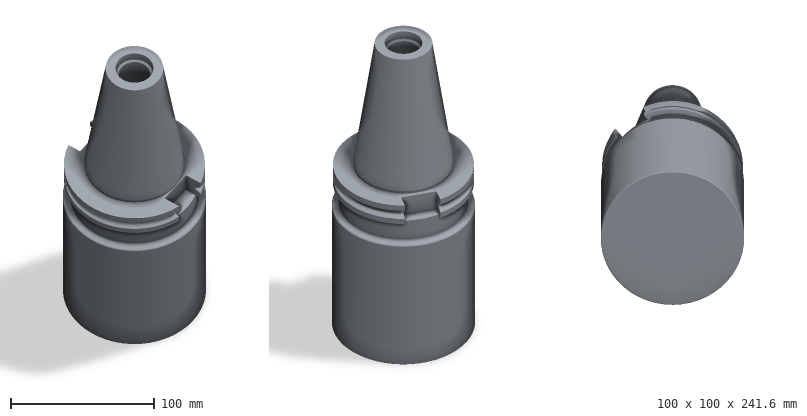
import cadquery as cq
import math


GAUGE_DIAMETER = 69.85
TAPER_LENGTH = 101.6
TAPER_RATIO = 7 / 24
TAPER_END_DIAMETER = GAUGE_DIAMETER - TAPER_RATIO * TAPER_LENGTH
TAPER_BASE = -0.8
TAPER_BASE_DIAMETER = GAUGE_DIAMETER - TAPER_RATIO * TAPER_BASE
RELIEF_DIAMETER = 69.4

FLANGE_DIAMETER = 98.4
FLANGE_TOP = -3.1
FLANGE_BOTTOM = -19.05
GROOVE_DIAMETER = 90
GROOVE_CENTRE = -11.15
GROOVE_FLOOR_WIDTH = 3.8
GROOVE_OPENING_WIDTH = 7
GROOVE_FLANK_SLOPE = math.radians(30)
GROOVE_FLANK_WIDTH = (GROOVE_OPENING_WIDTH - GROOVE_FLOOR_WIDTH) / 2
GROOVE_FLANK_DEPTH = GROOVE_FLANK_WIDTH / math.tan(GROOVE_FLANK_SLOPE)
GROOVE_FLOOR_TOP = GROOVE_CENTRE + GROOVE_FLOOR_WIDTH / 2
GROOVE_FLOOR_BOTTOM = GROOVE_CENTRE - GROOVE_FLOOR_WIDTH / 2

SLOT_WIDTH = 25.7
SLOT_FLOOR_MINUS_X = 37.5
SLOT_FLOOR_PLUS_X = 35.1

NECK_DIAMETER = 90
BODY_DIAMETER = 100
BODY_BOTTOM = -140
NECK_BOTTOM = -35.1
SHOULDER_SLOPE = math.radians(20)
SHOULDER_RADIUS = 1
BODY_BOTTOM_CHAMFER = 0.5

COUNTERBORE_DIAMETER = 26.38
COUNTERBORE_DEPTH = 6.2
LEDGE_SLOPE = math.radians(20)
BORE_DIAMETER = 22.5
BORE_DEPTH = 45
DRILL_POINT_ANGLE = 140


def revolve_profile(profile):
    """Revolve a closed (radius, height) profile about the Z axis."""
    return profile.close().revolve(360, (0, 0, 0), (0, 1, 0))


def make_holder():
    taper_base_radius = TAPER_BASE_DIAMETER / 2
    relief_radius = RELIEF_DIAMETER / 2
    flange_radius = FLANGE_DIAMETER / 2
    groove_radius = GROOVE_DIAMETER / 2
    flank_inner_radius = flange_radius - GROOVE_FLANK_DEPTH
    neck_radius = NECK_DIAMETER / 2
    body_radius = BODY_DIAMETER / 2
    arc_width = SHOULDER_RADIUS * (1 - math.sin(SHOULDER_SLOPE))
    arc_height = SHOULDER_RADIUS * math.cos(SHOULDER_SLOPE)
    cone_top_radius = neck_radius + arc_width
    cone_top = NECK_BOTTOM - arc_height
    cone_bottom_radius = body_radius - arc_width
    cone_bottom = cone_top - (cone_bottom_radius - cone_top_radius) * math.tan(SHOULDER_SLOPE)
    body_top = cone_bottom - arc_height
    profile = (
        cq.Workplane("XZ")
        .moveTo(0, TAPER_LENGTH)
        .lineTo(TAPER_END_DIAMETER / 2, TAPER_LENGTH)
        .lineTo(taper_base_radius, TAPER_BASE)
        .lineTo(relief_radius, TAPER_BASE)
        .lineTo(relief_radius, FLANGE_TOP)
        .lineTo(flange_radius, FLANGE_TOP)
        .lineTo(flange_radius, GROOVE_FLOOR_TOP + GROOVE_FLANK_WIDTH)
        .lineTo(flank_inner_radius, GROOVE_FLOOR_TOP)
        .lineTo(groove_radius, GROOVE_FLOOR_TOP)
        .lineTo(groove_radius, GROOVE_FLOOR_BOTTOM)
        .lineTo(flank_inner_radius, GROOVE_FLOOR_BOTTOM)
        .lineTo(flange_radius, GROOVE_FLOOR_BOTTOM - GROOVE_FLANK_WIDTH)
        .lineTo(flange_radius, FLANGE_BOTTOM)
        .lineTo(neck_radius, FLANGE_BOTTOM)
        .lineTo(neck_radius, NECK_BOTTOM)
        .radiusArc((cone_top_radius, cone_top), -SHOULDER_RADIUS)
        .lineTo(cone_bottom_radius, cone_bottom)
        .radiusArc((body_radius, body_top), SHOULDER_RADIUS)
        .lineTo(body_radius, BODY_BOTTOM + BODY_BOTTOM_CHAMFER)
        .lineTo(body_radius - BODY_BOTTOM_CHAMFER, BODY_BOTTOM)
        .lineTo(0, BODY_BOTTOM)
    )
    return revolve_profile(profile)


def make_slot(floor_distance, side):
    """Block that cuts one drive slot; side is +1 for +X and -1 for -X."""
    length = BODY_DIAMETER / 2 - floor_distance
    height = FLANGE_TOP - FLANGE_BOTTOM
    centre_x = side * (floor_distance + length / 2)
    centre_z = (FLANGE_TOP + FLANGE_BOTTOM) / 2
    return cq.Workplane("XY").box(length, SLOT_WIDTH, height).translate((centre_x, 0, centre_z))


def make_bore():
    bore_radius = BORE_DIAMETER / 2
    counterbore_radius = COUNTERBORE_DIAMETER / 2
    ledge = TAPER_LENGTH - COUNTERBORE_DEPTH
    ledge_drop = (counterbore_radius - bore_radius) * math.tan(LEDGE_SLOPE)
    bore_end = TAPER_LENGTH - BORE_DEPTH
    point_depth = bore_radius / math.tan(math.radians(DRILL_POINT_ANGLE / 2))
    profile = (
        cq.Workplane("XZ")
        .moveTo(0, TAPER_LENGTH)
        .lineTo(counterbore_radius, TAPER_LENGTH)
        .lineTo(counterbore_radius, ledge)
        .lineTo(bore_radius, ledge - ledge_drop)
        .lineTo(bore_radius, bore_end)
        .lineTo(0, bore_end - point_depth)
    )
    return revolve_profile(profile)


result = (
    make_holder()
    .cut(make_slot(SLOT_FLOOR_MINUS_X, -1))
    .cut(make_slot(SLOT_FLOOR_PLUS_X, 1))
    .cut(make_bore())
)